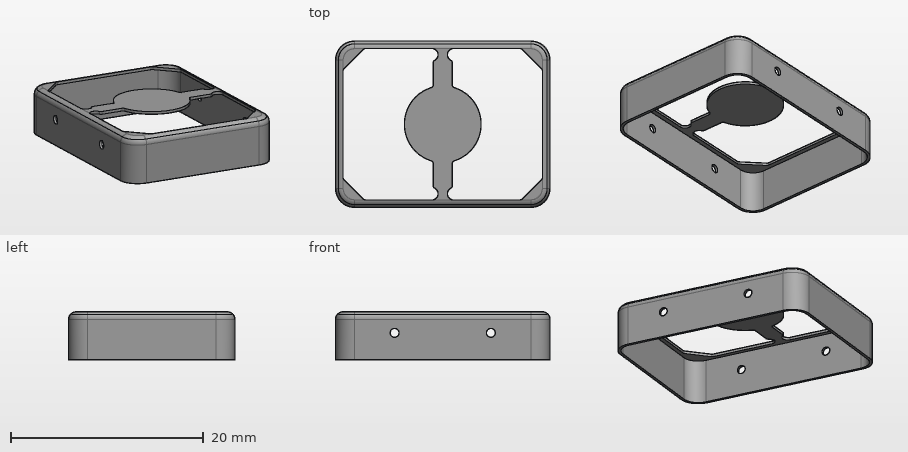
import cadquery as cq

length = 22.3
width = 17.3
height = 5.0
corner_radius = 2.0
top_edge_radius = 0.8

wall = 0.3
web_thickness = 0.3
cavity_length = length - 2 * wall
cavity_width = width - 2 * wall
cavity_corner_radius = corner_radius - wall
web_bottom = height - web_thickness

window_length = length - 2 * top_edge_radius
window_width = width - 2 * top_edge_radius

gusset_leg = 2.2
opening_corner_radius = 0.25

disc_diameter = 8.0
arm_width = 2.0
neck_width = 1.0
notch_radius = 0.65
notch_x = neck_width / 2 + notch_radius
notch_y = 7.22

hole_diameter = 0.9
hole_spacing = 10.0
hole_height = 2.8


def make_shell():
    """Block with rounded corners and top edge, hollowed from below up to the web."""
    block = (
        cq.Workplane("XY")
        .rect(length, width)
        .extrude(height)
        .edges("|Z")
        .fillet(corner_radius)
        .faces(">Z")
        .edges()
        .fillet(top_edge_radius)
    )
    cavity = (
        cq.Workplane("XY")
        .rect(cavity_length, cavity_width)
        .extrude(web_bottom)
        .edges("|Z")
        .fillet(cavity_corner_radius)
    )
    return block.cut(cavity)


def web_plane():
    """Workplane on the underside of the web."""
    return cq.Workplane("XY").workplane(offset=web_bottom)


def make_carrier():
    """Disc on a straight bar that spans the frame along Y."""
    disc = web_plane().circle(disc_diameter / 2).extrude(web_thickness)
    bar = web_plane().rect(arm_width, width).extrude(web_thickness)
    return disc.union(bar)


def make_notches():
    """Four round cutters that neck the arms next to the long walls."""
    return (
        web_plane()
        .rect(2 * notch_x, 2 * notch_y, forConstruction=True)
        .vertices()
        .circle(notch_radius)
        .extrude(web_thickness)
    )


def make_openings():
    """Rectangular window with cut-off corners, split by the notched carrier, all corners rounded."""
    window = (
        web_plane()
        .rect(window_length, window_width)
        .extrude(web_thickness)
        .edges("|Z")
        .chamfer(gusset_leg)
    )
    halves = window.cut(make_carrier())
    notched = halves.union(make_notches().intersect(window))
    return notched.edges("|Z").fillet(opening_corner_radius)


def make_cross_holes():
    """Pair of round cutters along Y, long enough to pass through both long walls."""
    return (
        cq.Workplane("XZ")
        .pushPoints([(-hole_spacing / 2, hole_height), (hole_spacing / 2, hole_height)])
        .circle(hole_diameter / 2)
        .extrude(width, both=True)
    )


result = make_shell().cut(make_openings()).cut(make_cross_holes())